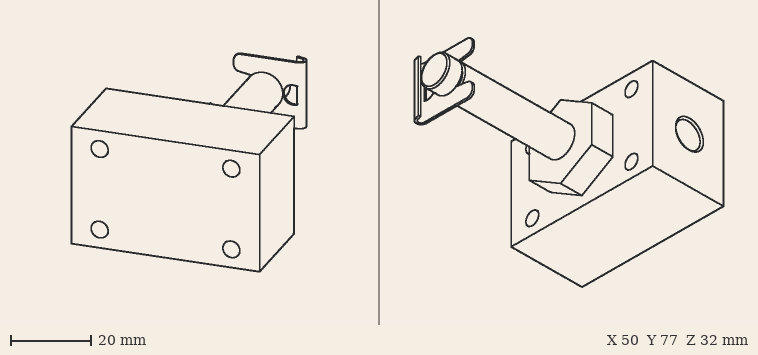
import cadquery as cq
import math

BLOCK_LENGTH = 50.0
BLOCK_DEPTH = 25.0
BLOCK_HEIGHT = 32.0
MOUNT_HOLE_DIA = 4.5
MOUNT_PITCH_X = 35.0
MOUNT_PITCH_Z = 22.0

PORT_DIA = 8.57
PORT_MOUTH_DIA = 9.73
PORT_CHAMFER = (PORT_MOUTH_DIA - PORT_DIA) / 2
PORT_DEPTH = 12.0
PORT_Y = 12.0

HEX_ACROSS_FLATS = 22.0
HEX_ACROSS_CORNERS = HEX_ACROSS_FLATS / math.cos(math.radians(30))
HEX_THICKNESS = 7.5
ROD_DIA = 10.0
ROD_END_Y = 77.0
ROD_CHAMFER = 0.5
GROOVE_DIA = 8.0
GROOVE_START_Y = 71.0
GROOVE_WIDTH = 1.15

CLIP_THICKNESS = 0.7
CLIP_WIDTH = 18.0
CLIP_TIP_X = -8.1
CLIP_BEND_X = 8.9
CLIP_TIP_RADIUS = 1.8
CLIP_THROAT_HALF = 3.5
CLIP_MOUTH_HALF = 4.5
RELIEF_RADIUS = 2.7
RELIEF_X = 7.8
HOOK_RADIUS = 1.7
HOOK_LIP_ANGLE = 18.0
HOOK_LIP_LENGTH = 1.8


def xz_plane(y):
    """Workplane at the given Y: local x is X, local y is Z, normal is -Y."""
    return cq.Workplane("XZ", origin=(0, y, 0))


def make_block():
    block = xz_plane(0).rect(BLOCK_LENGTH, BLOCK_HEIGHT).extrude(-BLOCK_DEPTH)
    mount_holes = (
        xz_plane(0)
        .rect(MOUNT_PITCH_X, MOUNT_PITCH_Z, forConstruction=True)
        .vertices()
        .circle(MOUNT_HOLE_DIA / 2)
        .extrude(-BLOCK_DEPTH)
    )
    return block.cut(mount_holes).cut(make_port())


def make_port():
    """Blind bore with a chamfered mouth, as a solid to cut away."""
    face_x = -BLOCK_LENGTH / 2
    profile = [
        (face_x, PORT_Y),
        (face_x, PORT_Y + PORT_MOUTH_DIA / 2),
        (face_x + PORT_CHAMFER, PORT_Y + PORT_DIA / 2),
        (face_x + PORT_DEPTH, PORT_Y + PORT_DIA / 2),
        (face_x + PORT_DEPTH, PORT_Y),
    ]
    axis_start = (face_x, PORT_Y)
    axis_end = (face_x + PORT_DEPTH, PORT_Y)
    return cq.Workplane("XY").polyline(profile).close().revolve(360, axis_start, axis_end)


def make_hex_collar():
    """Hexagon with two corners on the Z axis."""
    return (
        xz_plane(BLOCK_DEPTH)
        .transformed(rotate=(0, 0, 90))
        .polygon(6, HEX_ACROSS_CORNERS)
        .extrude(-HEX_THICKNESS)
    )


def make_rod():
    rod = xz_plane(BLOCK_DEPTH).circle(ROD_DIA / 2).extrude(BLOCK_DEPTH - ROD_END_Y)
    rod = rod.faces(">Y").chamfer(ROD_CHAMFER)
    groove = (
        xz_plane(GROOVE_START_Y)
        .circle(ROD_DIA / 2)
        .circle(GROOVE_DIA / 2)
        .extrude(-GROOVE_WIDTH)
    )
    return rod.cut(groove)


def make_clip_plate():
    """Flat fork that grips the groove, open towards -X."""
    half_width = CLIP_WIDTH / 2
    seat_radius = GROOVE_DIA / 2
    throat_x = -math.sqrt(seat_radius**2 - CLIP_THROAT_HALF**2)
    plate = (
        xz_plane(GROOVE_START_Y)
        .moveTo(CLIP_BEND_X, half_width)
        .lineTo(CLIP_TIP_X, half_width)
        .lineTo(CLIP_TIP_X, CLIP_MOUTH_HALF)
        .lineTo(throat_x, CLIP_THROAT_HALF)
        .threePointArc((seat_radius, 0), (throat_x, -CLIP_THROAT_HALF))
        .lineTo(CLIP_TIP_X, -CLIP_MOUTH_HALF)
        .lineTo(CLIP_TIP_X, -half_width)
        .lineTo(CLIP_BEND_X, -half_width)
        .close()
        .extrude(-CLIP_THICKNESS)
    )
    plate = plate.edges("|Y and <X").fillet(CLIP_TIP_RADIUS)
    relief = (
        xz_plane(GROOVE_START_Y)
        .center(RELIEF_X, 0)
        .circle(RELIEF_RADIUS)
        .extrude(-CLIP_THICKNESS)
    )
    return plate.cut(relief)


def make_clip_hook():
    """Bent end of the clip: an arc followed by a short straight lip."""
    center_y = GROOVE_START_Y + HOOK_RADIUS
    inner_radius = HOOK_RADIUS - CLIP_THICKNESS
    lip_direction = math.radians(180 - HOOK_LIP_ANGLE)
    arc_end = math.radians(90 - HOOK_LIP_ANGLE)

    def arc_point(radius, angle):
        return (CLIP_BEND_X + radius * math.cos(angle), center_y + radius * math.sin(angle))

    def lip_point(radius):
        x, y = arc_point(radius, arc_end)
        shift_x = HOOK_LIP_LENGTH * math.cos(lip_direction)
        shift_y = HOOK_LIP_LENGTH * math.sin(lip_direction)
        return (x + shift_x, y + shift_y)

    return (
        cq.Workplane("XY", origin=(0, 0, -CLIP_WIDTH / 2))
        .moveTo(CLIP_BEND_X, GROOVE_START_Y)
        .threePointArc(arc_point(HOOK_RADIUS, 0), arc_point(HOOK_RADIUS, arc_end))
        .lineTo(*lip_point(HOOK_RADIUS))
        .lineTo(*lip_point(inner_radius))
        .lineTo(*arc_point(inner_radius, arc_end))
        .threePointArc(arc_point(inner_radius, 0), (CLIP_BEND_X, GROOVE_START_Y + CLIP_THICKNESS))
        .close()
        .extrude(CLIP_WIDTH)
    )


result = (
    make_block()
    .union(make_hex_collar())
    .union(make_rod())
    .union(make_clip_plate())
    .union(make_clip_hook())
)